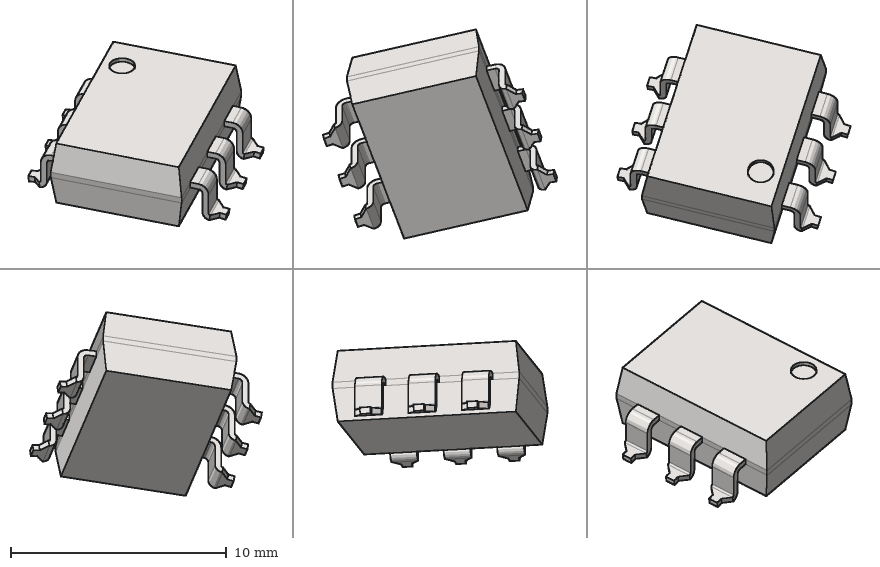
import cadquery as cq
import math

overall_span = 9.68

housing_width = 6.39
housing_length = 8.85
housing_half_height = 1.55
housing_draft_inset = 0.2
lead_thickness = 0.3
band_bottom = housing_half_height
band_top = band_bottom + lead_thickness
housing_height = band_top + housing_half_height

marker_diameter = 1.2
marker_depth = 0.2
marker_x = -2.0

leads_per_side = 3
lead_pitch = 2.54
lead_width = 1.27
lead_outer_x = -4.09
shoulder_inner_radius = 0.2
shoulder_outer_radius = shoulder_inner_radius + lead_thickness
ankle_inner_radius = 0.1
ankle_outer_radius = ankle_inner_radius + lead_thickness
foot_angle = math.radians(8.0)
foot_drop = 0.2
toe_width = 0.48
toe_length = 0.31
toe_taper_length = 0.36

slope_cos = math.cos(foot_angle)
slope_sin = math.sin(foot_angle)
toe_top_x = -overall_span / 2
toe_top_z = lead_thickness * slope_cos - foot_drop


def housing_outline(height):
    """Full-size housing rectangle at the given height."""
    return cq.Workplane("XY", origin=(0, 0, height)).rect(housing_width, housing_length)


def make_housing():
    """Drafted housing with the pin-1 recess; its bottom face lies on Z = 0."""
    draft = math.degrees(math.atan(housing_draft_inset / housing_half_height))
    body = (
        housing_outline(band_bottom)
        .extrude(lead_thickness)
        .union(housing_outline(band_top).extrude(housing_half_height, taper=draft))
        .union(housing_outline(band_bottom).extrude(-housing_half_height, taper=draft))
    )
    marker = (
        cq.Workplane("XY", origin=(marker_x, lead_pitch, housing_height))
        .circle(marker_diameter / 2)
        .extrude(-marker_depth)
    )
    return body.cut(marker)


def bent_strip():
    """Full-width lead on the -X side, centred on Y = 0, before its toe is narrowed."""
    inner_x = lead_outer_x + lead_thickness

    shoulder_x = lead_outer_x + shoulder_outer_radius
    shoulder_z = band_top - shoulder_outer_radius
    shoulder_mid_angle = math.radians(135)

    def shoulder_midpoint(radius):
        return (
            shoulder_x + radius * math.cos(shoulder_mid_angle),
            shoulder_z + radius * math.sin(shoulder_mid_angle),
        )

    ankle_x = lead_outer_x - ankle_inner_radius
    ankle_z = toe_top_z + (ankle_x - toe_top_x) * math.tan(foot_angle) + ankle_inner_radius / slope_cos
    foot_normal_angle = foot_angle - math.pi / 2
    ankle_mid_angle = foot_normal_angle / 2

    def ankle_point(radius, angle):
        return (ankle_x + radius * math.cos(angle), ankle_z + radius * math.sin(angle))

    profile = (
        cq.Workplane("XZ")
        .moveTo(-housing_width / 2, band_top)
        .lineTo(shoulder_x, band_top)
        .threePointArc(shoulder_midpoint(shoulder_outer_radius), (lead_outer_x, shoulder_z))
        .lineTo(lead_outer_x, ankle_z)
        .threePointArc(
            ankle_point(ankle_inner_radius, ankle_mid_angle),
            ankle_point(ankle_inner_radius, foot_normal_angle),
        )
        .lineTo(toe_top_x, toe_top_z)
        .lineTo(toe_top_x + lead_thickness * slope_sin, -foot_drop)
        .lineTo(*ankle_point(ankle_outer_radius, foot_normal_angle))
        .threePointArc(ankle_point(ankle_outer_radius, ankle_mid_angle), (inner_x, ankle_z))
        .lineTo(inner_x, shoulder_z)
        .threePointArc(shoulder_midpoint(shoulder_inner_radius), (shoulder_x, band_bottom))
        .lineTo(-housing_width / 2, band_bottom)
        .close()
    )
    return profile.extrude(lead_width / 2, both=True)


def make_lead():
    """Bent lead whose foot is cut square to its slope, down to a narrow toe."""
    foot_plane = cq.Plane(
        origin=(toe_top_x, 0, toe_top_z),
        xDir=(slope_cos, 0, slope_sin),
        normal=(-slope_sin, 0, slope_cos),
    )
    lead = bent_strip()
    for side in (-1, 1):
        notch = (
            cq.Workplane(foot_plane)
            .moveTo(0, side * toe_width / 2)
            .lineTo(toe_length, side * toe_width / 2)
            .lineTo(toe_length + toe_taper_length, side * lead_width / 2)
            .lineTo(0, side * lead_width / 2)
            .close()
            .extrude(-lead_thickness)
        )
        lead = lead.cut(notch)
    return lead


def make_leads():
    """Copies of the lead along both long sides of the housing."""
    lead = make_lead()
    leads = []
    for turn in (0, 180):
        sided_lead = lead.rotate((0, 0, 0), (0, 0, 1), turn)
        for index in range(leads_per_side):
            y = (index - (leads_per_side - 1) / 2) * lead_pitch
            leads.append(sided_lead.translate((0, y, 0)).val())
    return leads


housing = make_housing()
leads = make_leads()
result = cq.Compound.makeCompound([housing.val(), *leads])